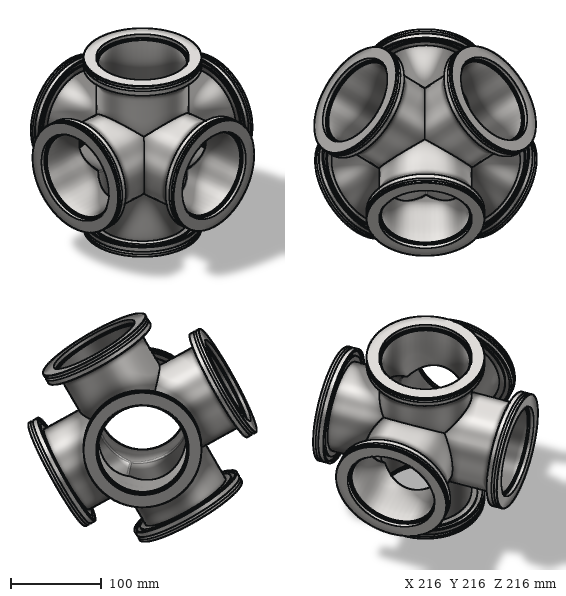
import cadquery as cq

SPAN = 216.0
HALF_SPAN = SPAN / 2

TUBE_OUTER_RADIUS = 50.8
TUBE_INNER_RADIUS = 48.5
BORE_CROSSING_FILLET = 2.0

FLANGE_RADIUS = 65.0
FLANGE_THICKNESS = 12.0
FACE_CHAMFER = 0.5

SEAT_RADIUS = 51.0
SEAT_DEPTH = 4.5
LIP_RADIUS = 49.5
LIP_THICKNESS = 2.0
TUBE_END_DEPTH = SEAT_DEPTH + LIP_THICKNESS

RIM_GROOVE_RADIUS = 1.5
RIM_GROOVE_OFFSET = 5.0

BACK_GROOVE_INNER_RADIUS = 57.2
BACK_GROOVE_OUTER_RADIUS = 62.6
BACK_GROOVE_DEPTH = 2.2

TUBE_HALF_LENGTH = HALF_SPAN - TUBE_END_DEPTH

AXES = [cq.Vector(1, 0, 0), cq.Vector(0, 1, 0), cq.Vector(0, 0, 1)]
DIRECTIONS = [axis * sign for axis in AXES for sign in (1, -1)]


def crossed_cylinders(radius):
    """Three equal cylinders along X, Y and Z, joined at the origin."""
    cross = cq.Workplane()
    for axis in AXES:
        start = axis * -TUBE_HALF_LENGTH
        cross = cross.add(cq.Solid.makeCylinder(radius, 2 * TUBE_HALF_LENGTH, start, axis))
    return cross.combine()


def make_cross():
    """Hollow cross with an open tube end on each of the six sides."""
    bore = crossed_cylinders(TUBE_INNER_RADIUS).edges("%ELLIPSE").fillet(BORE_CROSSING_FILLET)
    return crossed_cylinders(TUBE_OUTER_RADIUS).cut(bore).solids().val()


def make_flange(direction):
    """Flange whose face lies at the end of the given direction from the origin."""
    face_center = direction * HALF_SPAN
    inward = direction * -1

    def cylinder(radius, start_depth, end_depth):
        """Coaxial cylinder between two depths below the flange face."""
        start = face_center + inward * start_depth
        return cq.Solid.makeCylinder(radius, end_depth - start_depth, start, inward)

    disc = cylinder(FLANGE_RADIUS, 0, FLANGE_THICKNESS)
    front_edge = min(
        (edge for edge in disc.Edges() if edge.geomType() == "CIRCLE"),
        key=lambda edge: (edge.Center() - face_center).Length,
    )
    disc = disc.chamfer(FACE_CHAMFER, None, [front_edge])

    seat = cylinder(SEAT_RADIUS, 0, SEAT_DEPTH)
    lip_bore = cylinder(LIP_RADIUS, SEAT_DEPTH, TUBE_END_DEPTH)
    socket = cylinder(TUBE_OUTER_RADIUS, TUBE_END_DEPTH, FLANGE_THICKNESS)

    rim_groove_center = face_center + inward * RIM_GROOVE_OFFSET
    rim_groove = cq.Solid.makeTorus(FLANGE_RADIUS, RIM_GROOVE_RADIUS, rim_groove_center, inward)

    back_groove_floor = FLANGE_THICKNESS - BACK_GROOVE_DEPTH
    back_groove = cylinder(BACK_GROOVE_OUTER_RADIUS, back_groove_floor, FLANGE_THICKNESS).cut(
        cylinder(BACK_GROOVE_INNER_RADIUS, back_groove_floor, FLANGE_THICKNESS))

    return disc.cut(seat, lip_bore, socket, rim_groove, back_groove).Solids()[0]


cross = make_cross()
flanges = [make_flange(direction) for direction in DIRECTIONS]

result = cq.Compound.makeCompound([cross, *flanges])